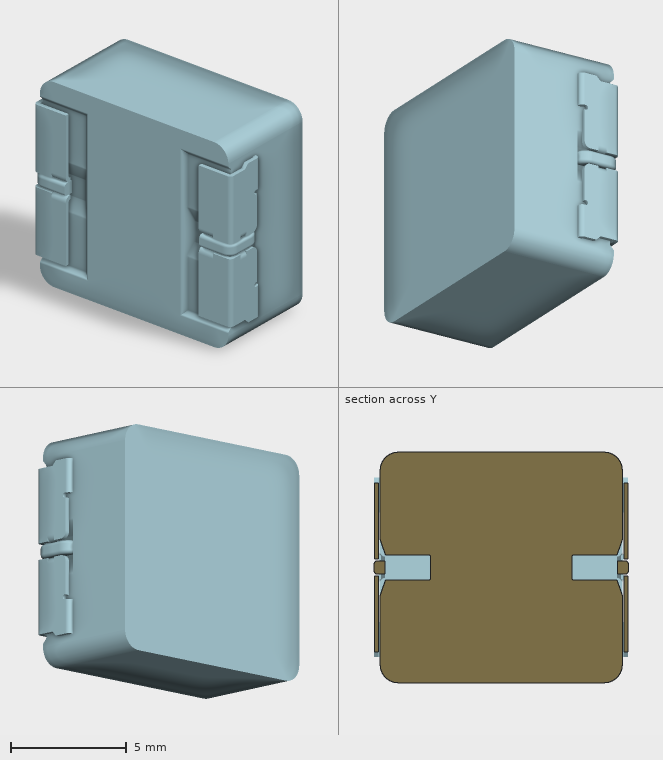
import cadquery as cq
import math


BODY_X = 10.5
BODY_Y = 5.1
BODY_Z = 10.0
CORNER_RADIUS = 0.8
BODY_SIDE = BODY_X / 2

POCKET_DEPTH = 0.2
POCKET_X = 2.61
POCKET_HALF_Z = 4.04
WALL_SLOPE = math.tan(math.radians(45))
FLOOR_FILLET = 0.11
RIM_FILLET = 0.1

TROUGH_DEPTH = 0.24
TROUGH_TOP_HALF_Z = 1.2
TROUGH_FLOOR_HALF_Z = 0.515
TROUGH_EDGE_FILLET = 0.22
TROUGH_FLOOR_FILLET = 0.1

CUT_OVERRUN = 1.0
PICK_MARGIN = 0.02

STRIP = 0.2
TERMINAL_X = 5.5
TERMINAL_FRONT = -0.13
TERMINAL_BACK = 1.86
FOOT_TIP_X = 3.7
EMBED = 0.3
SLOT_HALF_Z = 0.365
FOOT_HALF_Z = 3.67
TAB_TOP_Z = 3.88
TAB_BOTTOM_Z = 2.36
STEP_Y = 0.84
SLOT_CORNER_RADIUS = 0.3
RELIEF_RADIUS = 0.105
RELIEF_DEPTH = 0.07

LIP_RADIUS = 0.305
FOOT_LIP_END_X = 4.51
SIDE_LIP_FRONT = 0.53
SIDE_LIP_BACK = 0.95
LIP_GAP = 0.015

WIRE_X = 5.51
WIRE_FRONT = -0.15
WIRE_THICKNESS = 0.5
WIRE_HALF_Z = 0.3
WIRE_FILLET = 0.15
WIRE_TIP_X = 3.75
WIRE_FRONT_BEND = 0.46
WIRE_BACK_BEND = 0.58


def make_body():
    return (
        cq.Workplane("XY")
        .box(BODY_X, BODY_Y, BODY_Z)
        .edges("|Y")
        .fillet(CORNER_RADIUS)
        .translate((0, BODY_Y / 2, 0))
    )


def edges_near_z(half_z):
    """Pick edges whose centre lies within a small distance of Z = +half_z or Z = -half_z."""
    reach = BODY_X + BODY_Y

    def band(z):
        return cq.selectors.BoxSelector(
            (-reach, PICK_MARGIN, z - PICK_MARGIN), (reach, reach, z + PICK_MARGIN)
        )

    return band(half_z) + band(-half_z)


def round_trough(tool, direction):
    """Round the upper and floor edges of the trough flanks that run in the given direction."""
    tool = tool.edges(direction).edges(edges_near_z(TROUGH_TOP_HALF_Z)).fillet(TROUGH_EDGE_FILLET)
    floor_edges = tool.edges(direction).edges(edges_near_z(TROUGH_FLOOR_HALF_Z))
    return floor_edges.fillet(TROUGH_FLOOR_FILLET)


def pocket_tool():
    """Pocket and front trough: a stepped section along X, ended by one sloping wall."""
    open_x = BODY_SIDE + CUT_OVERRUN
    trough_floor = POCKET_DEPTH + TROUGH_DEPTH
    pocket_floor_half_z = POCKET_HALF_Z - POCKET_DEPTH * WALL_SLOPE
    half_section = [
        (0, POCKET_HALF_Z),
        (POCKET_DEPTH, pocket_floor_half_z),
        (POCKET_DEPTH, TROUGH_TOP_HALF_Z),
        (trough_floor, TROUGH_FLOOR_HALF_Z),
    ]
    section = half_section + [(y, -z) for y, z in reversed(half_section)]
    channel = cq.Workplane("YZ").polyline(section).close().extrude(open_x)
    channel = round_trough(channel, "|X")
    wedge = (
        cq.Workplane("XY")
        .polyline([
            (POCKET_X, 0),
            (POCKET_X + trough_floor * WALL_SLOPE, trough_floor),
            (open_x, trough_floor),
            (open_x, 0),
        ])
        .close()
        .extrude(BODY_Z, both=True)
    )
    tool = channel.intersect(wedge)
    below_rim = cq.selectors.BoxSelector(
        (0, POCKET_DEPTH - PICK_MARGIN, -BODY_Z), (open_x, BODY_Y, BODY_Z)
    )
    inner_wall_foot = tool.faces("<X").edges(below_rim)
    end_wall_feet = tool.edges("|X").edges(edges_near_z(pocket_floor_half_z))
    return tool.newObject(inner_wall_foot.vals() + end_wall_feet.vals()).fillet(FLOOR_FILLET)


def side_trough_tool():
    """Trough in the body side, with the same flank positions as the front trough.

    A slab lying against the body side is part of the tool so that the upper edges can be rounded.
    """
    floor_x = BODY_SIDE - TROUGH_DEPTH
    outside_x = BODY_SIDE + CUT_OVERRUN
    slab_half_z = TROUGH_TOP_HALF_Z + CUT_OVERRUN
    half_section = [
        (outside_x, slab_half_z),
        (BODY_SIDE, slab_half_z),
        (BODY_SIDE, TROUGH_TOP_HALF_Z),
        (floor_x, TROUGH_FLOOR_HALF_Z),
    ]
    section = half_section + [(x, -z) for x, z in reversed(half_section)]
    trough = cq.Workplane("XZ").polyline(section).close().extrude(-TERMINAL_BACK)
    return round_trough(trough, "|Y")


def round_pocket_rim(body, side):
    """Round the pocket rim on the mounting face; side is +1 or -1 along X."""
    near_x = side * (POCKET_X - PICK_MARGIN)
    far_x = side * (BODY_SIDE - PICK_MARGIN)
    half_z = POCKET_HALF_Z + PICK_MARGIN
    rim = cq.selectors.BoxSelector((near_x, -PICK_MARGIN, -half_z), (far_x, PICK_MARGIN, half_z))
    return body.edges(rim).fillet(RIM_FILLET)


def strip_profile():
    """Bent strip seen along Z: foot, side plate and the tab that enters the body."""
    inner_x = TERMINAL_X - STRIP
    inner_front = TERMINAL_FRONT + STRIP
    inner_back = TERMINAL_BACK - STRIP
    embedded_x = BODY_SIDE - EMBED
    return (
        cq.Workplane("XY")
        .moveTo(FOOT_TIP_X, TERMINAL_FRONT)
        .lineTo(inner_x, TERMINAL_FRONT)
        .radiusArc((TERMINAL_X, inner_front), -STRIP)
        .lineTo(TERMINAL_X, inner_back)
        .radiusArc((inner_x, TERMINAL_BACK), -STRIP)
        .lineTo(embedded_x, TERMINAL_BACK)
        .lineTo(embedded_x, inner_back)
        .lineTo(inner_x, inner_back)
        .lineTo(inner_x, inner_front)
        .lineTo(FOOT_TIP_X, inner_front)
        .close()
    )


def terminal_outline():
    """Upper terminal seen along X, with its stepped top, bend relief and rounded slot corner."""
    plate_back = TERMINAL_BACK - STRIP
    step = TAB_TOP_Z - FOOT_HALF_Z
    relief_tip = plate_back - RELIEF_DEPTH - RELIEF_RADIUS
    relief_bottom_z = TAB_BOTTOM_Z - 2 * RELIEF_RADIUS
    return (
        cq.Workplane("YZ")
        .moveTo(TERMINAL_FRONT, SLOT_HALF_Z)
        .lineTo(plate_back - SLOT_CORNER_RADIUS, SLOT_HALF_Z)
        .radiusArc((plate_back, SLOT_HALF_Z + SLOT_CORNER_RADIUS), -SLOT_CORNER_RADIUS)
        .lineTo(plate_back, relief_bottom_z)
        .lineTo(plate_back - RELIEF_DEPTH, relief_bottom_z)
        .threePointArc(
            (relief_tip, TAB_BOTTOM_Z - RELIEF_RADIUS), (plate_back - RELIEF_DEPTH, TAB_BOTTOM_Z)
        )
        .lineTo(TERMINAL_BACK, TAB_BOTTOM_Z)
        .lineTo(TERMINAL_BACK, TAB_TOP_Z)
        .lineTo(STEP_Y + step, TAB_TOP_Z)
        .lineTo(STEP_Y, FOOT_HALF_Z)
        .lineTo(TERMINAL_FRONT, FOOT_HALF_Z)
        .close()
    )


def curl_edge(terminal, plane, face, inward, start, end):
    """Replace a stretch of the square slot edge by a quarter ring turned inward onto the wire.

    In the section plane the first axis is normal to the strip face and the second is Z;
    the stretch runs from start to end along the plane normal.
    """
    edge_z = WIRE_HALF_Z + LIP_GAP
    root_z = edge_z + LIP_RADIUS
    ring_depth = face + inward * LIP_RADIUS
    mid_z = (edge_z + root_z) / 2
    base = cq.Workplane(plane).workplane(offset=start)
    length = end - start
    quarter = base.center(face + inward * LIP_RADIUS / 2, mid_z).rect(LIP_RADIUS, LIP_RADIUS).extrude(length)
    ring = base.center(ring_depth, root_z).circle(LIP_RADIUS).circle(LIP_RADIUS - STRIP).extrude(length)
    return terminal.cut(quarter).union(quarter.intersect(ring))


def upper_terminal():
    strip = strip_profile().extrude(BODY_Z / 2)
    terminal = strip.intersect(terminal_outline().extrude(BODY_X))
    terminal = curl_edge(terminal, "YZ", TERMINAL_FRONT, 1, FOOT_TIP_X, FOOT_LIP_END_X)
    return curl_edge(terminal, "XZ", TERMINAL_X, -1, -SIDE_LIP_BACK, -SIDE_LIP_FRONT)


def wire_lead():
    """Flattened wire with rounded outer edges, bent around the body corner and into its side."""
    inner_x = WIRE_X - WIRE_THICKNESS
    inner_front = WIRE_FRONT + WIRE_THICKNESS
    inner_back = TERMINAL_BACK - WIRE_THICKNESS
    embedded_x = inner_x - EMBED
    profile = (
        cq.Workplane("XY")
        .moveTo(WIRE_TIP_X, WIRE_FRONT)
        .lineTo(WIRE_X - WIRE_FRONT_BEND, WIRE_FRONT)
        .radiusArc((WIRE_X, WIRE_FRONT + WIRE_FRONT_BEND), -WIRE_FRONT_BEND)
        .lineTo(WIRE_X, TERMINAL_BACK - WIRE_BACK_BEND)
        .radiusArc((WIRE_X - WIRE_BACK_BEND, TERMINAL_BACK), -WIRE_BACK_BEND)
        .lineTo(embedded_x, TERMINAL_BACK)
        .lineTo(embedded_x, inner_back)
        .lineTo(inner_x, inner_back)
        .lineTo(inner_x, inner_front)
        .lineTo(WIRE_TIP_X, inner_front)
        .close()
    )
    wire = profile.extrude(WIRE_HALF_Z, both=True)
    front_edges = wire.faces("<Y").edges("|X")
    return front_edges.fillet(WIRE_FILLET)


recess = pocket_tool().union(side_trough_tool())
body = make_body().cut(recess).cut(recess.mirror("YZ"))
for side in (1, -1):
    body = round_pocket_rim(body, side)

terminals = upper_terminal()
contacts = terminals.union(terminals.mirror("XY")).union(wire_lead())

result = body.union(contacts).union(contacts.mirror("YZ"))